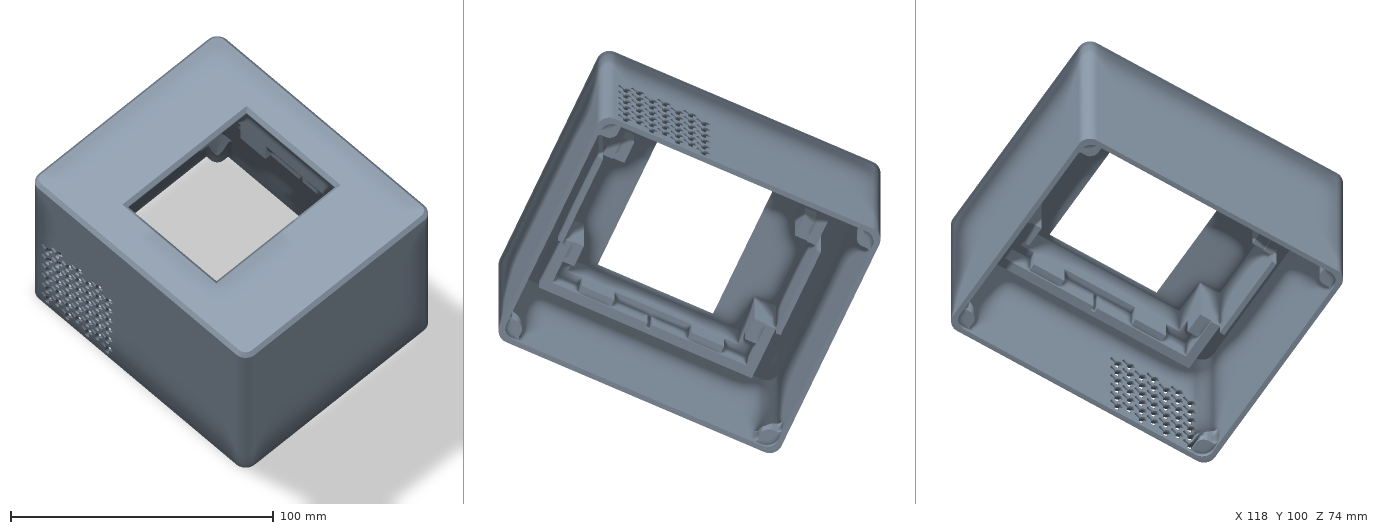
import cadquery as cq
import math

length = 118.0
width = 100.0
height = 74.0
wall = 2.0
top_thickness = 2.0
corner_radius = 5.0
edge_chamfer = 1.5

window_length = 48.4
window_width = 63.0
window_bevel = 1.5

lid_recess = 2.0
post_radius = 3.5
post_offset = 5.3
post_blend_radius = 1.5
post_wall_height = 12.4

post_top_angle = 45.0

grille_columns = 7
grille_rows = 6
grille_left = -49.6
grille_bottom = -31.9
grille_span = 32.8
arm_length = 3.2
arm_width = 2.1
arm_end_radius = 0.7

rim_half_length = 35.8
rim_half_width = 33.6
rim_bottom = 11.2
notch_height = 8.7
corner_notch = 6.0
rim_depth_x = 5.0
rim_depth_y = 3.2
ring_drop = 1.0
ring_thickness = 3.9
middle_notch_length = 32.1
key_slot_length = 1.7
key_slot_depth = 2.0
side_slot_width = 37.3
panel_thickness = 2.0
panel_bottom = 5.5

top = height / 2
bottom = -height / 2
ceiling = top - top_thickness
cavity_length = length - 2 * wall
cavity_width = width - 2 * wall
CORNER_SIGNS = [(1, 1), (-1, 1), (-1, -1), (1, -1)]


def block(size_x, size_y, z_low, z_high, x=0.0, y=0.0):
    """Upright block centred on (x, y) between two heights."""
    return cq.Workplane("XY", origin=(x, y, z_low)).rect(size_x, size_y).extrude(z_high - z_low)


def rounded_block(size_x, size_y, z_low, z_high):
    return block(size_x, size_y, z_low, z_high).edges("|Z").fillet(corner_radius)


def make_shell():
    body = rounded_block(length, width, bottom, top).faces(">Z").edges().chamfer(edge_chamfer)
    return body.cut(rounded_block(cavity_length, cavity_width, bottom, ceiling))


def make_window():
    opening = block(window_length, window_width, ceiling, top)
    bevel = (
        cq.Workplane("XY", origin=(0, 0, top - window_bevel))
        .rect(window_length, window_width)
        .workplane(offset=window_bevel)
        .rect(window_length + 2 * window_bevel, window_width + 2 * window_bevel)
        .loft(ruled=True)
    )
    return opening.union(bevel)


def make_posts():
    """Four corner posts whose tops slope up towards the walls."""
    z_low = bottom + lid_recess
    z_high = bottom + post_wall_height
    axis_x = length / 2 - post_offset
    axis_y = width / 2 - post_offset
    inner_x = axis_x - post_radius
    inner_y = axis_y - post_radius
    wall_x = cavity_length / 2
    wall_y = cavity_width / 2
    blend = post_blend_radius
    to_middle = math.sqrt(0.5)
    blend_middle = blend * (1 - to_middle)
    post_plan = (
        cq.Workplane("XY", origin=(0, 0, z_low))
        .moveTo(wall_x, wall_y)
        .lineTo(inner_x - blend, wall_y)
        .threePointArc((inner_x - blend_middle, wall_y - blend_middle), (inner_x, wall_y - blend))
        .lineTo(inner_x, axis_y)
        .threePointArc(
            (axis_x - post_radius * to_middle, axis_y - post_radius * to_middle),
            (axis_x, inner_y),
        )
        .lineTo(wall_x - blend, inner_y)
        .threePointArc((wall_x - blend_middle, inner_y - blend_middle), (wall_x, inner_y - blend))
        .close()
        .extrude(z_high - z_low)
    )
    hollow = (
        cq.Workplane("XY", origin=(0, 0, z_high))
        .rect(cavity_length, cavity_width)
        .extrude(z_low - z_high, taper=post_top_angle)
    )
    arc_x = wall_x - corner_radius
    arc_y = wall_y - corner_radius
    funnel_height = corner_radius / math.tan(math.radians(post_top_angle))
    funnel = cq.Workplane(
        cq.Solid.makeCone(0, corner_radius, funnel_height,
                          pnt=cq.Vector(arc_x, arc_y, z_high - funnel_height))
    )
    corner_square = block(corner_radius, corner_radius, z_high - funnel_height, z_high,
                          arc_x + corner_radius / 2, arc_y + corner_radius / 2)
    hollow = hollow.cut(corner_square.cut(funnel))
    post = post_plan.cut(hollow)
    rounded_corner = rounded_block(cavity_length, cavity_width, z_low, z_high)
    post = post.intersect(rounded_corner)
    posts = post.union(post.mirror("YZ"))
    return posts.union(posts.mirror("XZ"))


def make_grille():
    """Staggered columns of three-armed holes through the front wall and the post behind it."""
    grille_depth = post_offset + post_radius
    column_step = grille_span / (grille_columns - 1)
    row_step = column_step / math.cos(math.radians(30))
    front_plane = cq.Workplane("XZ", origin=(0, -width / 2, 0))
    arm = (
        front_plane.center(0, -arm_length / 2)
        .rect(arm_width, arm_length)
        .extrude(-grille_depth)
        .edges("|Y and <Z")
        .fillet(arm_end_radius)
    )
    hole = arm
    for angle in (120, 240):
        hole = hole.union(arm.rotate((0, 0, 0), (0, 1, 0), angle))
    holes = []
    for column in range(grille_columns):
        stagger = row_step / 2 * (column % 2)
        for row in range(grille_rows):
            x = grille_left + column * column_step
            z = grille_bottom + row * row_step + stagger
            holes.append(hole.val().moved(cq.Location(cq.Vector(x, 0, z))))
    return cq.Workplane(cq.Compound.makeCompound(holes))


def make_frame():
    """Notched rim inside a ring, with a panel behind each side slot."""
    ring_bottom = rim_bottom - ring_drop
    notch_top = rim_bottom + notch_height
    ring_x = rim_half_length + rim_depth_x
    ring_y = rim_half_width + rim_depth_y
    outer_x = ring_x + ring_thickness
    outer_y = ring_y + ring_thickness

    ring = block(2 * outer_x, 2 * outer_y, ring_bottom, ceiling)
    ring = ring.cut(block(2 * ring_x, 2 * ring_y, ring_bottom, ceiling))
    ring = ring.cut(block(key_slot_length, 2 * (ring_y + key_slot_depth), ring_bottom, notch_top))

    rim = block(2 * ring_x, 2 * ring_y, rim_bottom, ceiling)
    rim = rim.cut(block(2 * rim_half_length, 2 * rim_half_width, rim_bottom, ceiling))
    rim = rim.cut(block(middle_notch_length, 2 * ring_y, rim_bottom, notch_top))
    notch_x = rim_depth_x + corner_notch
    notch_y = rim_depth_y + corner_notch
    for sign_x, sign_y in CORNER_SIGNS:
        rim = rim.cut(block(notch_x, notch_y, rim_bottom, notch_top,
                            sign_x * (ring_x - notch_x / 2), sign_y * (ring_y - notch_y / 2)))

    frame = ring.union(rim).cut(block(2 * outer_x, side_slot_width, ring_bottom, ceiling))
    for side in (-1, 1):
        panel_x = side * (outer_x + panel_thickness / 2)
        frame = frame.union(block(panel_thickness, side_slot_width, panel_bottom, ceiling, panel_x))
    return frame


result = (
    make_shell()
    .union(make_frame())
    .union(make_posts())
    .cut(make_window())
    .cut(make_grille())
)